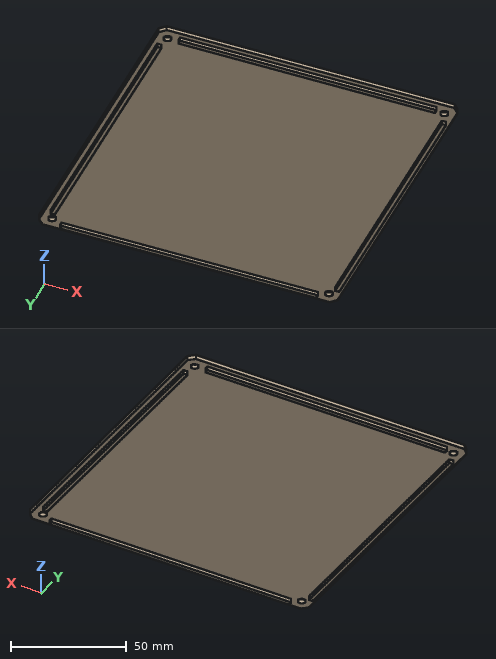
import cadquery as cq

plate_side = 140.0
plate_thickness = 2.2
corner_chamfer = 2.7

hole_diameter = 3.4
hole_pitch = 129.6

total_height = 4.0
rib_height = total_height - plate_thickness
rib_length = 120.1
rib_width = 2.0
rib_inset = 2.4
rib_offset = plate_side / 2 - rib_inset - rib_width / 2


def make_plate():
    """Drilled plate with chamfered corners and its underside at Z = 0."""
    return (
        cq.Workplane("XY")
        .box(plate_side, plate_side, plate_thickness, centered=(True, True, False))
        .edges("|Z")
        .chamfer(corner_chamfer)
        .faces(">Z")
        .workplane()
        .rect(hole_pitch, hole_pitch, forConstruction=True)
        .vertices()
        .hole(hole_diameter)
    )


def make_rib(angle):
    """Rib hanging below the plate, turned about Z to its side."""
    rib = cq.Workplane("XY").center(0, -rib_offset).rect(rib_length, rib_width).extrude(-rib_height)
    return rib.rotate((0, 0, 0), (0, 0, 1), angle)


result = make_plate()
for side_angle in (0, 90, 180, 270):
    result = result.union(make_rib(side_angle))